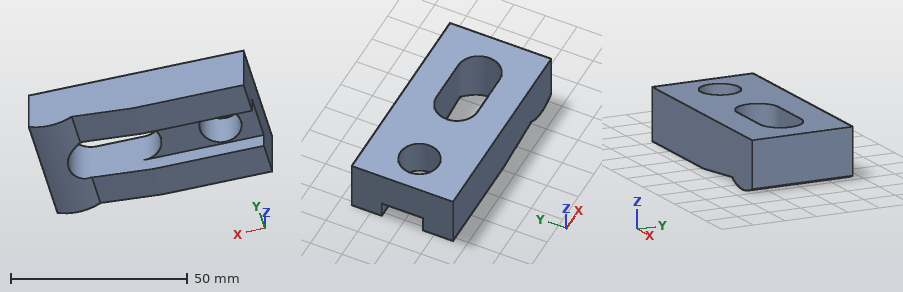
import cadquery as cq
import math

LENGTH = 63.0
WIDTH = 32.0
HEIGHT = 16.0

NOSE_RADIUS = 12.0
NOSE_X = 57.0
RELIEF_DEPTH = 2.0
RELIEF_LENGTH = 18.0

HOLE_DIAMETER = 12.0
HOLE_X = 11.0

SLOT_WIDTH = 13.0
SLOT_START_CENTRE_X = 35.0
SLOT_END_CENTRE_X = 49.0

GROOVE_WIDTH = SLOT_WIDTH
GROOVE_DEPTH = 5.0
GROOVE_LENGTH = (SLOT_START_CENTRE_X + SLOT_END_CENTRE_X) / 2


def nose_height(x):
    """Height of the nose arc above the underside at a given X."""
    return NOSE_RADIUS - math.sqrt(NOSE_RADIUS**2 - (x - NOSE_X) ** 2)


def make_body():
    """Side profile with the sloping relief and nose arc, extruded across the width."""
    nose_half_chord = math.sqrt(NOSE_RADIUS**2 - (NOSE_RADIUS - RELIEF_DEPTH) ** 2)
    relief_end_x = NOSE_X - nose_half_chord
    return (
        cq.Workplane("XZ")
        .moveTo(0, HEIGHT)
        .lineTo(0, 0)
        .lineTo(relief_end_x - RELIEF_LENGTH, 0)
        .lineTo(relief_end_x, RELIEF_DEPTH)
        .threePointArc((NOSE_X, 0), (LENGTH, nose_height(LENGTH)))
        .lineTo(LENGTH, HEIGHT)
        .close()
        .extrude(WIDTH / 2, both=True)
    )


def make_hole():
    return cq.Workplane("XY").center(HOLE_X, 0).circle(HOLE_DIAMETER / 2).extrude(HEIGHT)


def make_slot():
    slot_centre_x = (SLOT_START_CENTRE_X + SLOT_END_CENTRE_X) / 2
    slot_length = SLOT_END_CENTRE_X - SLOT_START_CENTRE_X + SLOT_WIDTH
    return cq.Workplane("XY").center(slot_centre_x, 0).slot2D(slot_length, SLOT_WIDTH).extrude(HEIGHT)


def make_groove():
    return cq.Workplane("XY").box(GROOVE_LENGTH, GROOVE_WIDTH, GROOVE_DEPTH, centered=(False, True, False))


result = make_body().cut(make_hole()).cut(make_slot()).cut(make_groove())